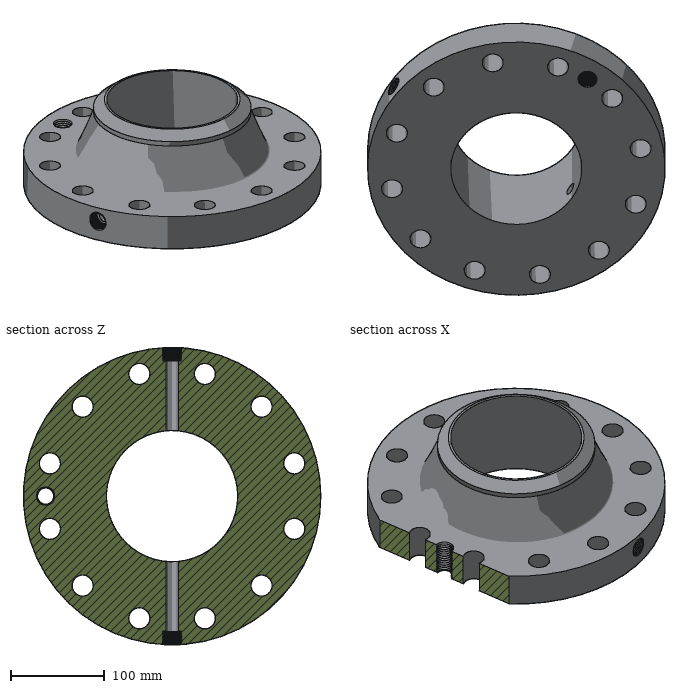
import cadquery as cq
import math

flange_diameter = 317.5
flange_radius = flange_diameter / 2
flange_thickness = 38.5

total_height = 100.0
bore_radius = 70.0
neck_radius = 84.0
neck_bottom_z = 85.7
weld_land_width = 2.5
weld_bevel_angle = 37.5
hub_base_radius = 102.5
hub_bow = 1.0
hub_foot_width = 2.5
hub_foot_height = 1.5

bolt_count = 12
bolt_hole_diameter = 22.2
bolt_circle_radius = 135.0
bolt_start_angle = 180 / bolt_count

jack_major_radius = 10.0
jack_minor_radius = 8.5
jack_pitch = 2.5

tap_z = 22.5
tap_major_radius = 10.5
tap_minor_radius = 9.05
tap_pitch = 1.8
tap_thread_turns = 8
tap_taper = 1 / 32
tap_hole_radius = 6.5
tap_overlap = 6.5


def flange_body():
    """Disc, hub, neck and bore as one revolved section."""
    land_radius = bore_radius + weld_land_width
    bevel_height = (neck_radius - land_radius) * math.tan(math.radians(weld_bevel_angle))
    hub_base_z = flange_thickness + hub_foot_height
    hub_mid = (
        (neck_radius + hub_base_radius) / 2 - hub_bow,
        (neck_bottom_z + hub_base_z) / 2,
    )
    return (
        cq.Workplane("XZ")
        .moveTo(bore_radius, 0)
        .lineTo(flange_radius, 0)
        .lineTo(flange_radius, flange_thickness)
        .lineTo(hub_base_radius + hub_foot_width, flange_thickness)
        .tangentArcPoint((-hub_foot_width, hub_foot_height))
        .threePointArc(hub_mid, (neck_radius, neck_bottom_z))
        .lineTo(neck_radius, total_height - bevel_height)
        .lineTo(land_radius, total_height)
        .lineTo(bore_radius, total_height)
        .close()
        .revolve(360, (0, 0), (0, 1))
    )


def threaded_cutter(major_radius, minor_radius, pitch, turns, taper=0.0):
    """Threaded hole running from Z = 0 down; each thread turn is a plain ring groove."""
    points = [(0, 0), (major_radius, 0)]
    for turn in range(turns):
        crest_depth = (turn + 0.5) * pitch
        root_depth = (turn + 1) * pitch
        points.append((minor_radius - taper * crest_depth, -crest_depth))
        points.append((major_radius - taper * root_depth, -root_depth))
    points.append((0, -turns * pitch))
    return cq.Workplane("XZ").polyline(points).close().revolve(360, (0, 0), (0, 1))


def bolt_holes():
    return (
        cq.Workplane("XY")
        .polarArray(bolt_circle_radius, bolt_start_angle, 360, bolt_count)
        .circle(bolt_hole_diameter / 2)
        .extrude(flange_thickness)
    )


def jack_screw_hole():
    turns = math.ceil(flange_thickness / jack_pitch)
    cutter = threaded_cutter(jack_major_radius, jack_minor_radius, jack_pitch, turns)
    return cutter.translate((-bolt_circle_radius, 0, flange_thickness))


def pressure_tap():
    """Tap on the -Y side of the rim, pointing at the flange axis."""
    thread = threaded_cutter(
        tap_major_radius, tap_minor_radius, tap_pitch, tap_thread_turns, tap_taper
    )
    hole_length = flange_radius - bore_radius + tap_overlap
    plain_hole = cq.Workplane("XY").circle(tap_hole_radius).extrude(-hole_length)
    cutter = thread.union(plain_hole).rotate((0, 0, 0), (1, 0, 0), 90)
    return cutter.translate((0, -flange_radius, tap_z))


result = flange_body().cut(bolt_holes()).cut(jack_screw_hole())
for tap_angle in (0, 180):
    result = result.cut(pressure_tap().rotate((0, 0, 0), (0, 0, 1), tap_angle))